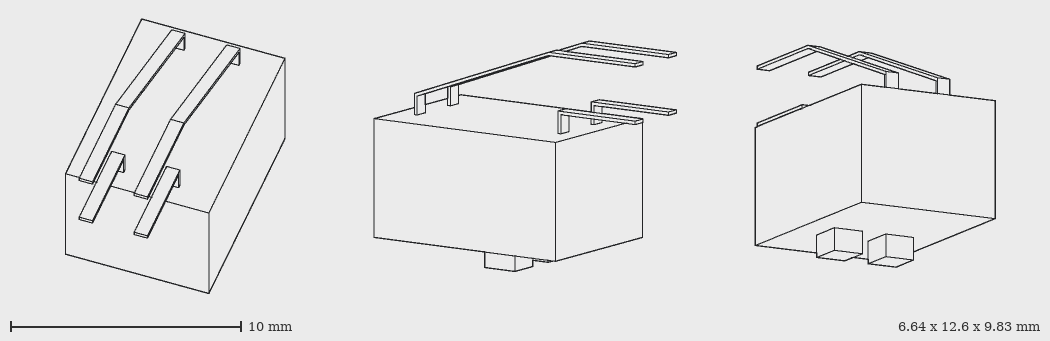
import cadquery as cq
import math

housing_width = 6.64
housing_length = 9.6
housing_height = 5.27

column_pitch = 2.55
strip_width = 0.62
strip_thickness = 0.15
terminal_inset = 0.93
terminal_reach = 3.0
short_rise = 1.0
tip_spacing = 2.55
tip_length = 4.59
long_corner_drop = 0.05

actuator_width = 1.39
actuator_length = 1.6
actuator_height = 1.01
actuator_offset = -0.91

column_positions = [-column_pitch / 2, column_pitch / 2]
front_y = -housing_length / 2
back_y = housing_length / 2
tip_y = front_y - terminal_reach
short_top = housing_height + short_rise
long_top = short_top + tip_spacing


def make_strip(side_outline, x_center):
    """Extrude a (Y, Z) outline by the strip width, centred on x_center."""
    profile = cq.Workplane("YZ", origin=(x_center, 0, 0)).polyline(side_outline).close()
    return profile.extrude(strip_width / 2, both=True)


def make_short_terminal(x_center):
    """L-shaped strip: a leg near the -Y end and a level tip."""
    leg_y = front_y + terminal_inset
    return make_strip(
        [
            (leg_y, housing_height),
            (leg_y + strip_thickness, housing_height),
            (leg_y + strip_thickness, short_top),
            (tip_y, short_top),
            (tip_y, short_top - strip_thickness),
            (leg_y, short_top - strip_thickness),
        ],
        x_center,
    )


def make_long_terminal(x_center):
    """Strip with a leg near the +Y end, a rising slope and a level tip."""
    leg_y = back_y - terminal_inset
    inner_leg_y = leg_y - strip_thickness
    corner_z = short_top - long_corner_drop
    bend_y = tip_y + tip_length
    slope_angle = math.atan2(long_top - corner_z, leg_y - bend_y)
    inner_bend_y = bend_y + strip_thickness * math.tan(slope_angle / 2)
    inner_corner_z = (
        corner_z
        + strip_thickness * math.tan(slope_angle)
        - strip_thickness / math.cos(slope_angle)
    )
    return make_strip(
        [
            (inner_leg_y, housing_height),
            (leg_y, housing_height),
            (leg_y, corner_z),
            (bend_y, long_top),
            (tip_y, long_top),
            (tip_y, long_top - strip_thickness),
            (inner_bend_y, long_top - strip_thickness),
            (inner_leg_y, inner_corner_z),
        ],
        x_center,
    )


def make_housing():
    """Block with the four terminals moulded into its top."""
    body = cq.Workplane("XY").box(
        housing_width, housing_length, housing_height, centered=(True, True, False)
    )
    for x_center in column_positions:
        body = body.union(make_short_terminal(x_center))
        body = body.union(make_long_terminal(x_center))
    return body


def make_actuator(x_center):
    """Plain block resting against the underside of the housing."""
    return cq.Workplane("XY", origin=(x_center, actuator_offset, -actuator_height)).box(
        actuator_width, actuator_length, actuator_height, centered=(True, True, False)
    )


housing = make_housing()
actuators = [make_actuator(x_center) for x_center in column_positions]

result = cq.Compound.makeCompound([housing.val(), *[actuator.val() for actuator in actuators]])